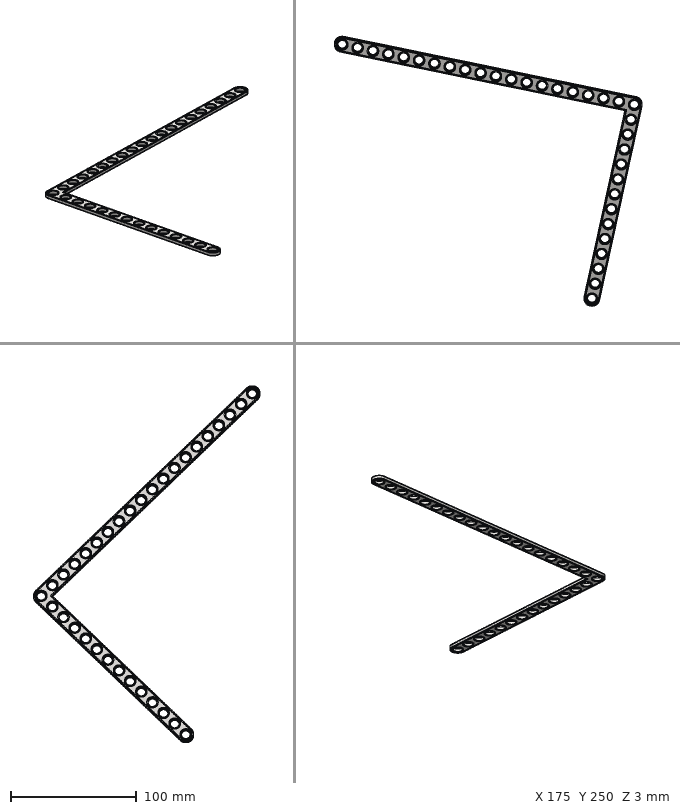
import cadquery as cq

length_x = 175.0
length_y = 250.0
thickness = 3.0
pitch = 12.5
hole_diameter = 7.0
rim_diameter = 9.2
edge_chamfer = 0.2
recess_depth = 0.12

width = pitch
first_center = pitch / 2
holes_x = round(length_x / pitch)
holes_y = round(length_y / pitch)

border_width = (rim_diameter - hole_diameter) / 2


def l_shape(inset):
    """Two round-ended bars sharing a corner at the origin, shrunk inwards by the inset."""
    bar_width = width - 2 * inset
    arm_x = (
        cq.Workplane("XY")
        .center(length_x / 2, first_center)
        .slot2D(length_x - 2 * inset, bar_width)
        .extrude(thickness)
    )
    arm_y = (
        cq.Workplane("XY")
        .center(first_center, length_y / 2)
        .slot2D(length_y - 2 * inset, bar_width, 90)
        .extrude(thickness)
    )
    return arm_x.union(arm_y)


def hole_cylinders(diameter):
    """Full-height cylinders at every hole, the shared corner hole counted once."""
    along_x = [(first_center + i * pitch, first_center) for i in range(holes_x)]
    along_y = [(first_center, first_center + i * pitch) for i in range(1, holes_y)]
    return cq.Workplane("XY").pushPoints(along_x + along_y).circle(diameter / 2).extrude(thickness)


bracket = l_shape(0).cut(hole_cylinders(hole_diameter))
bracket = bracket.faces("<Z or >Z").edges().chamfer(edge_chamfer)

recess_area = l_shape(border_width).cut(hole_cylinders(rim_diameter))
recess_offset = thickness - recess_depth
top_recess = recess_area.intersect(recess_area.translate((0, 0, recess_offset)))
bottom_recess = recess_area.intersect(recess_area.translate((0, 0, -recess_offset)))

result = bracket.cut(top_recess).cut(bottom_recess)